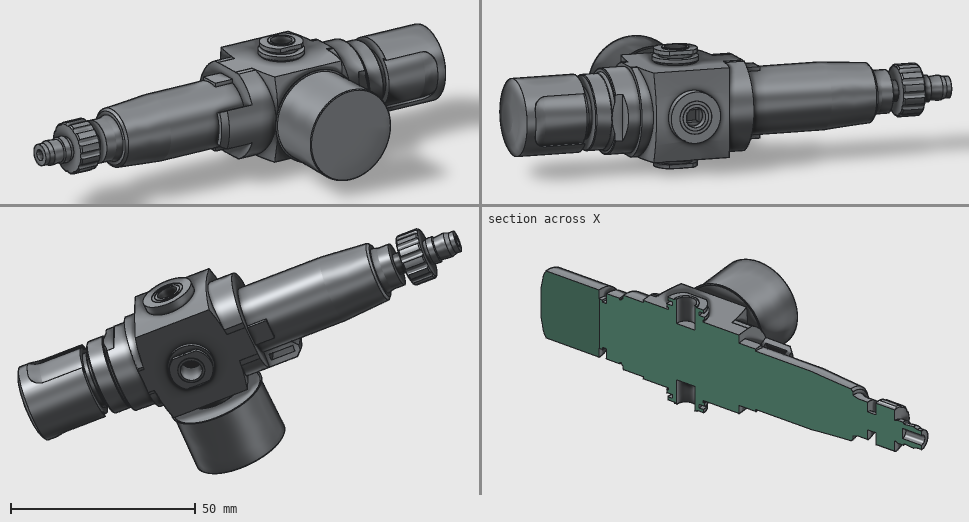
import cadquery as cq


OVERALL_LENGTH = 126.8
OVERALL_HEIGHT = 33.1

KNOB_TOP = 48.3
KNOB_BOTTOM = 28.8
KNOB_RADIUS = 10.7
KNOB_CROWN_RADIUS = 4.2
KNOB_CONE_RADIUS = 7.4
KNOB_CONE_BOTTOM = 47.7
KNOB_ROUND_RADIUS = 9.4
KNOB_ROUND_HEIGHT = 47.2
KNOB_EDGE = 46.4
GRIP_RADIUS = 9.5
GRIP_HALF_WIDTH = 7.0
GRIP_CORNER = 3.7
GRIP_RAMP_START = 40.6
GRIP_RAMP_END = 43.9
GRIP_RAMP_MIDDLE_RISE = 0.3

NECK_RADIUS = 7.9
NECK_GROOVE_RADIUS = 7.2
NECK_GROOVE_TOP = 27.6
COLLAR_RADIUS = 10.4
COLLAR_TOP = 26.5
COLLAR_BOTTOM = 21.9
COLLAR_CHAMFER = 0.3
BONNET_GROOVE_RADIUS = 9.9
SHOULDER_TOP = 20.9
SHOULDER_RADIUS = 11.8
SHOULDER_CHAMFER = 0.3
SHOULDER_CONE_RADIUS = 10.8
SHOULDER_CONE_TOP = 21.7
WRENCH_FLAT_X = 9.9
WRENCH_FLAT_BOTTOM = 18.6
WRENCH_RAMP_BOTTOM = 17.6

BLOCK_HALF_HEIGHT = 12.4
BLOCK_SIDE_X = 14.5
BLOCK_CORNER_X = 13.2
BLOCK_END_Y = 12.5
BLOCK_CORNER_Y = 10.5
UPPER_NECK_RADIUS = 13.0
UPPER_NECK_TOP = 14.2
LOWER_NECK_RADIUS = 13.7
LOWER_NECK_BOTTOM = -17.8
NECK_FLAT_DROP = 0.06
UPPER_RIB_WIDTH = 7.0
LOWER_RIB_WIDTH = 8.6

PORT_BASE_RADIUS = 5.8
PORT_BASE_TOP = 12.9
PORT_RING_RADIUS = 6.3
PORT_RING_TOP = 14.1
PORT_NECK_RADIUS = 4.6
PORT_NECK_TOP = 15.1
PORT_DISC_RADIUS = 6.0
PORT_DISC_TOP = 16.2
PORT_LIP_RADIUS = 3.7
PORT_TOP = OVERALL_HEIGHT / 2
PORT_FLAT_WIDTH = 9.8
PORT_HOLE_DIAMETER = 6.0
PORT_HOLE_DEPTH = 7.6

BOSS_RADIUS = 7.1
BOSS_END = 16.7
PLUG_RECESS_DIAMETER = 5.6
PLUG_RECESS_DEPTH = 2.5
PLUG_SOCKET_WIDTH = 3.4
PLUG_SOCKET_DEPTH = 5.1
PLUG_GROOVE_INNER_DIAMETER = 7.4
PLUG_GROOVE_OUTER_DIAMETER = 9.1
PLUG_GROOVE_DEPTH = 0.1

BOWL_RADIUS = 9.3
BOWL_TAPER_START = -41.8
BOWL_END_RADIUS = 8.2
BOWL_TAPER_END = -55.0
BOWL_FOOT_RADIUS = 7.5
BOWL_FOOT = -55.7
DRAIN_COLLAR_TOP_RADIUS = 6.5
DRAIN_CONE_END = -57.5
DRAIN_COLLAR_RADIUS = 6.0
DRAIN_COLLAR_END = -60.6
STEM_RADIUS = 2.9
NUT_TOP = -63.3
NUT_BOTTOM = -69.6
NUT_RADIUS = 14.3 / 2
NUT_CHAMFER = 0.4
NUT_GROOVE_COUNT = 12
NUT_GROOVE_RADIUS = 1.1
NUT_GROOVE_DEPTH = 0.57
BARB_ROOT_RADIUS = 3.3
BARB_RADIUS = 3.7
BARB_WIDE_START = -70.6
BARB_WIDE_END = -72.4
BARB_WAIST_RADIUS = 3.2
BARB_WAIST_Y = -72.7
BARB_TIP_RADIUS = 3.4
BARB_TIP_START = -75.2
BARB_TIP_END = -75.8
NOZZLE_RADIUS = 6.0 / 2
NOZZLE_START = -77.1
NOZZLE_END = KNOB_TOP - OVERALL_LENGTH
DRAIN_HOLE_DIAMETER = 3.0
DRAIN_HOLE_DEPTH = 6.3

TAB_WIDTH = 5.7
TAB_TOP_Z = 9.9
TAB_END = -23.3
LOOP_HALF_ANGLE = 24
LOOP_OUTER_RADIUS = LOWER_NECK_RADIUS
LOOP_END = -27.4
LOOP_CORNER = 1.5
LOOP_SLOT_INNER_RADIUS = 10.4
LOOP_SLOT_OUTER_RADIUS = 12.0
LOOP_SLOT_START = -18.9
LOOP_SLOT_END = -25.9

GAUGE_FACE = 17.2
GAUGE_END = 34.2
GAUGE_BACK_RADIUS = 12.8
GAUGE_FRONT_RADIUS = 13.0
GAUGE_RIM_RADIUS = 13.3
GAUGE_RIM_WIDTH = 0.3
GAUGE_STUD_RADIUS = 6.0
GAUGE_CHAMFER = 0.3


def revolve_about_y(profile, angle=360):
    """Revolve a closed sketch of (radius, Y) about the Y axis."""
    return profile.close().revolve(angle, (0, 0, 0), (0, 1, 0))


def cylinder_along_y(radius, y_from, y_to):
    return cq.Workplane("XZ", origin=(0, y_from, 0)).circle(radius).extrude(y_from - y_to)


def make_knob():
    knob = revolve_about_y(
        cq.Workplane("XY")
        .moveTo(0, KNOB_BOTTOM)
        .lineTo(KNOB_RADIUS, KNOB_BOTTOM)
        .lineTo(KNOB_RADIUS, KNOB_EDGE)
        .threePointArc((KNOB_ROUND_RADIUS, KNOB_ROUND_HEIGHT), (KNOB_CONE_RADIUS, KNOB_CONE_BOTTOM))
        .lineTo(KNOB_CROWN_RADIUS, KNOB_TOP)
        .lineTo(0, KNOB_TOP)
    )
    return knob.cut(make_grip_recesses())


def make_grip_recesses():
    """Two curved thumb recesses, on -X and +X, that run out through the knob's lower end."""
    outside = 2 * KNOB_RADIUS
    ramp_rise = KNOB_RADIUS - GRIP_RADIUS
    ramp_middle = (GRIP_RADIUS + GRIP_RAMP_MIDDLE_RISE * ramp_rise, (GRIP_RAMP_START + GRIP_RAMP_END) / 2)
    shell = revolve_about_y(
        cq.Workplane("XY")
        .moveTo(GRIP_RADIUS, KNOB_BOTTOM)
        .lineTo(GRIP_RADIUS, GRIP_RAMP_START)
        .threePointArc(ramp_middle, (KNOB_RADIUS, GRIP_RAMP_END))
        .lineTo(outside, GRIP_RAMP_END)
        .lineTo(outside, KNOB_BOTTOM)
    )
    length = GRIP_RAMP_END - KNOB_BOTTOM
    window = (
        cq.Workplane("XY")
        .box(2 * outside, length, 2 * GRIP_HALF_WIDTH)
        .edges("|X and >Y")
        .fillet(GRIP_CORNER)
        .translate((0, KNOB_BOTTOM + length / 2, 0))
    )
    return shell.intersect(window)


def make_bonnet():
    bonnet = revolve_about_y(
        cq.Workplane("XY")
        .moveTo(0, 0)
        .lineTo(SHOULDER_RADIUS, 0)
        .lineTo(SHOULDER_RADIUS, SHOULDER_TOP - SHOULDER_CHAMFER)
        .lineTo(SHOULDER_RADIUS - SHOULDER_CHAMFER, SHOULDER_TOP)
        .lineTo(SHOULDER_CONE_RADIUS, SHOULDER_TOP)
        .lineTo(BONNET_GROOVE_RADIUS, SHOULDER_CONE_TOP)
        .lineTo(BONNET_GROOVE_RADIUS, COLLAR_BOTTOM)
        .lineTo(COLLAR_RADIUS, COLLAR_BOTTOM)
        .lineTo(COLLAR_RADIUS, COLLAR_TOP - COLLAR_CHAMFER)
        .lineTo(COLLAR_RADIUS - COLLAR_CHAMFER, COLLAR_TOP)
        .lineTo(NECK_GROOVE_RADIUS, COLLAR_TOP)
        .lineTo(NECK_GROOVE_RADIUS, NECK_GROOVE_TOP)
        .lineTo(NECK_RADIUS, NECK_GROOVE_TOP)
        .lineTo(NECK_RADIUS, KNOB_BOTTOM)
        .lineTo(0, KNOB_BOTTOM)
    )
    flat = (
        cq.Workplane("XY")
        .moveTo(WRENCH_FLAT_X, COLLAR_BOTTOM)
        .lineTo(WRENCH_FLAT_X, WRENCH_FLAT_BOTTOM)
        .lineTo(SHOULDER_RADIUS, WRENCH_RAMP_BOTTOM)
        .lineTo(2 * SHOULDER_RADIUS, WRENCH_RAMP_BOTTOM)
        .lineTo(2 * SHOULDER_RADIUS, COLLAR_BOTTOM)
        .close()
        .extrude(SHOULDER_RADIUS, both=True)
    )
    return bonnet.cut(flat).cut(flat.mirror("YZ"))


def make_block():
    """Square block with crowned ends and bulged sides, plus the round necks at both ends."""
    plan = (
        cq.Workplane("XY", origin=(0, 0, -BLOCK_HALF_HEIGHT))
        .moveTo(-BLOCK_SIDE_X, -BLOCK_CORNER_Y)
        .threePointArc((0, -BLOCK_END_Y), (BLOCK_SIDE_X, -BLOCK_CORNER_Y))
        .lineTo(BLOCK_SIDE_X, BLOCK_CORNER_Y)
        .threePointArc((0, BLOCK_END_Y), (-BLOCK_SIDE_X, BLOCK_CORNER_Y))
        .close()
        .extrude(2 * BLOCK_HALF_HEIGHT)
    )
    bulged_section = (
        cq.Workplane("XZ")
        .moveTo(-BLOCK_CORNER_X, -BLOCK_HALF_HEIGHT)
        .lineTo(BLOCK_CORNER_X, -BLOCK_HALF_HEIGHT)
        .threePointArc((BLOCK_SIDE_X, 0), (BLOCK_CORNER_X, BLOCK_HALF_HEIGHT))
        .lineTo(-BLOCK_CORNER_X, BLOCK_HALF_HEIGHT)
        .threePointArc((-BLOCK_SIDE_X, 0), (-BLOCK_CORNER_X, -BLOCK_HALF_HEIGHT))
        .close()
        .extrude(BLOCK_END_Y, both=True)
    )
    block = plan.intersect(bulged_section)
    upper_neck = make_neck(UPPER_NECK_RADIUS, UPPER_NECK_TOP, UPPER_RIB_WIDTH)
    lower_neck = make_neck(LOWER_NECK_RADIUS, LOWER_NECK_BOTTOM, LOWER_RIB_WIDTH)
    return block.union(upper_neck).union(lower_neck)


def make_neck(radius, end_y, rib_width):
    """Round neck from the block centre to end_y, flattened on +Z and -Z, with a rib on each flat."""
    length = 2 * abs(end_y)
    flats = cq.Workplane("XY").box(2 * radius, length, 2 * (BLOCK_HALF_HEIGHT - NECK_FLAT_DROP))
    rib = cq.Workplane("XY").box(rib_width, length, 2 * BLOCK_HALF_HEIGHT)
    return cylinder_along_y(radius, 0, end_y).intersect(flats.union(rib))


def make_port():
    """Stepped port on +Z, with two flats on its top disc."""
    stem = (
        cq.Workplane("XZ")
        .moveTo(0, 0)
        .lineTo(PORT_BASE_RADIUS, 0)
        .lineTo(PORT_BASE_RADIUS, PORT_BASE_TOP)
        .lineTo(PORT_RING_RADIUS, PORT_BASE_TOP)
        .lineTo(PORT_RING_RADIUS, PORT_RING_TOP)
        .lineTo(PORT_NECK_RADIUS, PORT_RING_TOP)
        .lineTo(PORT_NECK_RADIUS, PORT_DISC_TOP)
        .lineTo(PORT_LIP_RADIUS, PORT_DISC_TOP)
        .lineTo(PORT_LIP_RADIUS, PORT_TOP)
        .lineTo(0, PORT_TOP)
        .close()
        .revolve(360, (0, 0, 0), (0, 1, 0))
    )
    disc_thickness = PORT_DISC_TOP - PORT_NECK_TOP
    disc = cq.Workplane("XY", origin=(0, 0, PORT_NECK_TOP)).circle(PORT_DISC_RADIUS).extrude(disc_thickness)
    flats = cq.Workplane("XY").box(PORT_FLAT_WIDTH, 2 * PORT_DISC_RADIUS, 2 * PORT_TOP)
    return stem.union(disc.intersect(flats))


def make_port_hole():
    return (
        cq.Workplane("XY", origin=(0, 0, PORT_TOP))
        .circle(PORT_HOLE_DIAMETER / 2)
        .extrude(-PORT_HOLE_DEPTH)
    )


def make_side_bosses():
    return cq.Workplane("YZ").circle(BOSS_RADIUS).extrude(BOSS_END, both=True)


def make_plug_socket():
    """Round recess, square key socket and a shallow ring groove in the -X boss."""
    face = cq.Workplane("YZ", origin=(-BOSS_END, 0, 0))
    recess = face.circle(PLUG_RECESS_DIAMETER / 2).extrude(PLUG_RECESS_DEPTH)
    socket = face.rect(PLUG_SOCKET_WIDTH, PLUG_SOCKET_WIDTH).extrude(PLUG_SOCKET_DEPTH)
    groove = (
        face.circle(PLUG_GROOVE_OUTER_DIAMETER / 2)
        .circle(PLUG_GROOVE_INNER_DIAMETER / 2)
        .extrude(PLUG_GROOVE_DEPTH)
    )
    return recess.union(socket).union(groove)


def make_bowl():
    """Tapered bowl with the drain collar, stem and hose barb below it."""
    bowl = revolve_about_y(
        cq.Workplane("XY")
        .moveTo(0, 0)
        .lineTo(BOWL_RADIUS, 0)
        .lineTo(BOWL_RADIUS, BOWL_TAPER_START)
        .lineTo(BOWL_END_RADIUS, BOWL_TAPER_END)
        .lineTo(BOWL_FOOT_RADIUS, BOWL_FOOT)
        .lineTo(DRAIN_COLLAR_TOP_RADIUS, BOWL_FOOT)
        .lineTo(DRAIN_COLLAR_RADIUS, DRAIN_CONE_END)
        .lineTo(DRAIN_COLLAR_RADIUS, DRAIN_COLLAR_END)
        .lineTo(STEM_RADIUS, DRAIN_COLLAR_END)
        .lineTo(STEM_RADIUS, NUT_BOTTOM)
        .lineTo(BARB_ROOT_RADIUS, NUT_BOTTOM)
        .lineTo(BARB_RADIUS, BARB_WIDE_START)
        .lineTo(BARB_RADIUS, BARB_WIDE_END)
        .lineTo(BARB_WAIST_RADIUS, BARB_WAIST_Y)
        .lineTo(BARB_TIP_RADIUS, BARB_TIP_START)
        .lineTo(BARB_TIP_RADIUS, BARB_TIP_END)
        .lineTo(NOZZLE_RADIUS, NOZZLE_START)
        .lineTo(NOZZLE_RADIUS, NOZZLE_END)
        .lineTo(0, NOZZLE_END)
    )
    drain_hole = cylinder_along_y(DRAIN_HOLE_DIAMETER / 2, NOZZLE_END, NOZZLE_END + DRAIN_HOLE_DEPTH)
    return bowl.union(make_drain_nut()).cut(drain_hole)


def make_drain_nut():
    """Grip ring of the drain, with round-bottomed grooves around it."""
    nut = cylinder_along_y(NUT_RADIUS, NUT_TOP, NUT_BOTTOM).edges().chamfer(NUT_CHAMFER)
    pitch = 360 / NUT_GROOVE_COUNT
    groove_height = NUT_RADIUS + NUT_GROOVE_RADIUS - NUT_GROOVE_DEPTH
    groove = cylinder_along_y(NUT_GROOVE_RADIUS, NUT_TOP, NUT_BOTTOM).translate((0, 0, groove_height))
    for index in range(NUT_GROOVE_COUNT):
        nut = nut.cut(groove.rotate((0, 0, 0), (0, 1, 0), index * pitch))
    return nut


def make_bowl_tabs():
    """One flat bar through the bowl; its ends stand out as tabs on +Z and -Z."""
    return (
        cq.Workplane("XY", origin=(0, TAB_END / 2, 0))
        .box(TAB_WIDTH, -TAB_END, 2 * TAB_TOP_Z)
    )


def ring_sector(profile):
    """Revolve a profile about Y through the guard loop's angle, centred on +X."""
    sector = revolve_about_y(profile, 2 * LOOP_HALF_ANGLE)
    return sector.rotate((0, 0, 0), (0, 1, 0), -LOOP_HALF_ANGLE)


def make_guard_loop():
    """Curved loop on the +X side of the bowl with an annular slot through it."""
    loop = ring_sector(
        cq.Workplane("XY")
        .lineTo(LOOP_OUTER_RADIUS, 0)
        .lineTo(LOOP_OUTER_RADIUS, LOOP_END + LOOP_CORNER)
        .lineTo(LOOP_OUTER_RADIUS - LOOP_CORNER, LOOP_END)
        .lineTo(BOWL_RADIUS + LOOP_CORNER, LOOP_END)
        .lineTo(BOWL_RADIUS, LOOP_END + LOOP_CORNER)
        .lineTo(0, LOOP_END + LOOP_CORNER)
    )
    slot = ring_sector(
        cq.Workplane("XY")
        .moveTo(LOOP_SLOT_INNER_RADIUS, LOOP_SLOT_START)
        .lineTo(LOOP_SLOT_OUTER_RADIUS, LOOP_SLOT_START)
        .lineTo(LOOP_SLOT_OUTER_RADIUS, LOOP_SLOT_END)
        .lineTo(LOOP_SLOT_INNER_RADIUS, LOOP_SLOT_END)
    )
    return loop.cut(slot)


def make_housing():
    port = make_port()
    port_hole = make_port_hole()
    housing = make_block().union(make_bonnet()).union(make_bowl())
    housing = housing.union(make_bowl_tabs()).union(make_guard_loop()).union(make_side_bosses())
    housing = housing.union(port).union(port.mirror("XY"))
    return housing.cut(port_hole).cut(port_hole.mirror("XY")).cut(make_plug_socket())


def make_gauge():
    profile = (
        cq.Workplane("XY")
        .moveTo(BOSS_END, 0)
        .lineTo(BOSS_END, GAUGE_STUD_RADIUS)
        .lineTo(GAUGE_FACE, GAUGE_STUD_RADIUS)
        .lineTo(GAUGE_FACE, GAUGE_RIM_RADIUS)
        .lineTo(GAUGE_FACE + GAUGE_RIM_WIDTH, GAUGE_RIM_RADIUS)
        .lineTo(GAUGE_FACE + GAUGE_RIM_WIDTH, GAUGE_BACK_RADIUS)
        .lineTo(GAUGE_END - GAUGE_CHAMFER, GAUGE_FRONT_RADIUS)
        .lineTo(GAUGE_END, GAUGE_FRONT_RADIUS - GAUGE_CHAMFER)
        .lineTo(GAUGE_END, 0)
        .close()
    )
    return profile.revolve(360, (0, 0, 0), (1, 0, 0))


housing = make_housing()
knob = make_knob()
gauge = make_gauge()

result = cq.Compound.makeCompound([housing.solids().val(), knob.solids().val(), gauge.solids().val()])